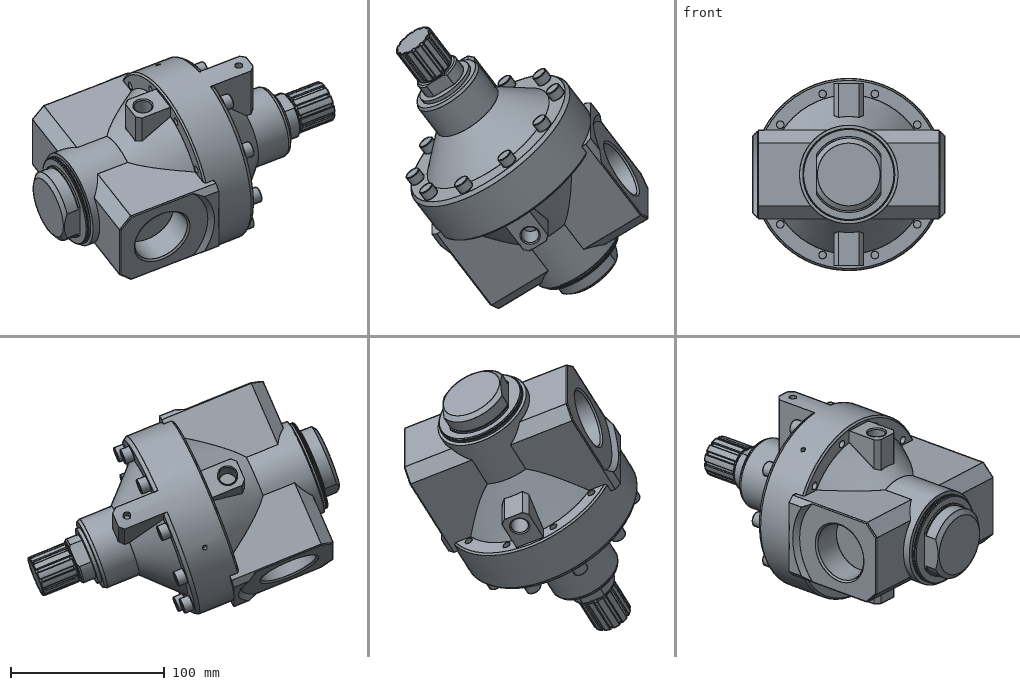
import cadquery as cq
import math

TOTAL_LENGTH = 206.0

PLUG_BASE_FRONT = 10.7
SEAL_FRONT = 12.0
SEAL_BACK = 15.0
BARREL_FRONT = 15.7
BLOCK_FRONT = 20.5
FRONT_CONE_START = 51.3
FLANGE_FRONT = 85.5
BLOCK_BACK = 92.3
FLANGE_BACK = 119.0
COLLAR_BACK = 167.5
WASHER_BACK = 170.0
NUT_BACK = 179.5
KNOB_FRONT = 180.2

PLUG_DIAMETER = 47.4
PLUG_BASE_DIAMETER = 49.5
PLUG_END_DIAMETER = 40.8
PLUG_CHAMFER_LENGTH = 2.5
PLUG_ACROSS_FLATS = 42.0
SEAL_DIAMETER = 60.0
SEAL_CHAMFER = 0.6
SEAL_GROOVE_DEPTH = 0.6
SEAL_GROOVE_WIDTH = 0.5
NECK_DIAMETER = 57.7
BARREL_DIAMETER = 64.0
FRONT_CONE_DIAMETER = 103.6
FLANGE_DIAMETER = 125.0
FLANGE_FRONT_CHAMFER = 1.2
FLANGE_BACK_CHAMFER_RADIAL = 1.9
FLANGE_BACK_CHAMFER_LENGTH = 2.7
COLLAR_DIAMETER = 48.2
BACK_CONE_DIAMETER = 96.0
COLLAR_CHAMFER_RADIAL = 1.0
COLLAR_CHAMFER_LENGTH = 2.0
WASHER_DIAMETER = 38.3

NUT_DIAMETER = 30.7
NUT_ACROSS_FLATS = 26.4
NUT_CHAMFER = 1.0
SPINDLE_DIAMETER = 23.9
KNOB_DIAMETER = 27.0
KNOB_CHAMFER = 0.6
FLUTE_COUNT = 12
FLUTE_FLOOR_WIDTH = 1.9
FLUTE_MOUTH_WIDTH = 3.0
FLUTE_DEPTH = 0.8
FLUTE_END_CHAMFER = 1.6

BLOCK_HEIGHT = 57.7
BLOCK_FRONT_CHAMFER = 8.5
BLOCK_END_CHAMFER = 4.0
SEAT_X = 59.3
SEAT_CENTER_Y = 43.9
SEAT_RADIUS = 42.0
PORT_CENTER_Y = 52.0
PORT_DIAMETER = 39.0
PORT_CHAMFER = 1.2
PORT_DEPTH = 20.0

BOSS_WIDTH = 19.4
BOSS_FRONT = 61.2
BOSS_TOP = 59.3
BOSS_CHAMFER = 3.0
GAUGE_HOLE_Y = 70.5
GAUGE_HOLE_DIAMETER = 11.5
GAUGE_HOLE_CHAMFER = 0.8
GAUGE_HOLE_DEPTH = 16.5

TAB_WIDTH = 15.7
TAB_BACK = 149.5
TAB_CHAMFER = 3.0
TAB_BOTTOM = 10.3
TAB_HOLE_Y = 141.5
TAB_HOLE_DIAMETER = 5.0
TAB_HOLE_DEPTH = 10.3

SCREW_COUNT = 10
SCREW_CIRCLE_DIAMETER = 110.2
SCREW_HEAD_DIAMETER = 10.0
SCREW_HEAD_HEIGHT = 6.8
SCREW_HEAD_CHAMFER = 0.5
SCREW_HOLE_DIAMETER = 5.0
SCREW_HOLE_DEPTH = 4.1
BLEED_HOLE_DIAMETER = 3.0
BLEED_HOLE_DEPTH = 4.1
BLEED_HOLE_Y = 102.0
BLEED_HOLE_ANGLE = 126.0


def cylinder_y(diameter, start, end):
    """Cylinder on the main axis between two Y positions."""
    return cq.Workplane("XZ", origin=(0, start, 0)).circle(diameter / 2).extrude(start - end)


def box_between(x_size, y_start, y_end, z_start, z_end):
    """Box centred on X = 0 between the given Y and Z limits."""
    return cq.Workplane("XY").box(x_size, y_end - y_start, z_end - z_start).translate(
        (0, (y_start + y_end) / 2, (z_start + z_end) / 2)
    )


def chamfered_bore(plane, diameter, chamfer, depth):
    """Blind bore cut against the plane's normal, with a chamfered mouth."""
    bore = cq.Workplane(plane).circle(diameter / 2).extrude(-depth)
    mouth = cq.Workplane(plane).circle(diameter / 2 + chamfer).extrude(-chamfer, taper=45)
    return bore.union(mouth)


def turned_body():
    """Seal, barrel, cones, flange, collar and washer as one revolved profile."""
    seal_radius = SEAL_DIAMETER / 2
    seal_middle = (SEAL_FRONT + SEAL_BACK) / 2
    flange_radius = FLANGE_DIAMETER / 2
    collar_radius = COLLAR_DIAMETER / 2
    profile = [
        (0, SEAL_FRONT),
        (seal_radius - SEAL_CHAMFER, SEAL_FRONT),
        (seal_radius, SEAL_FRONT + SEAL_CHAMFER),
        (seal_radius, seal_middle - SEAL_GROOVE_WIDTH / 2),
        (seal_radius - SEAL_GROOVE_DEPTH, seal_middle),
        (seal_radius, seal_middle + SEAL_GROOVE_WIDTH / 2),
        (seal_radius, SEAL_BACK),
        (NECK_DIAMETER / 2, SEAL_BACK),
        (NECK_DIAMETER / 2, BARREL_FRONT),
        (BARREL_DIAMETER / 2, BARREL_FRONT),
        (BARREL_DIAMETER / 2, FRONT_CONE_START),
        (FRONT_CONE_DIAMETER / 2, FLANGE_FRONT),
        (flange_radius - FLANGE_FRONT_CHAMFER, FLANGE_FRONT),
        (flange_radius, FLANGE_FRONT + FLANGE_FRONT_CHAMFER),
        (flange_radius, FLANGE_BACK - FLANGE_BACK_CHAMFER_LENGTH),
        (flange_radius - FLANGE_BACK_CHAMFER_RADIAL, FLANGE_BACK),
        (BACK_CONE_DIAMETER / 2, FLANGE_BACK),
        (collar_radius, FLANGE_BACK + (BACK_CONE_DIAMETER - COLLAR_DIAMETER) / 2),
        (collar_radius, COLLAR_BACK - COLLAR_CHAMFER_LENGTH),
        (collar_radius - COLLAR_CHAMFER_RADIAL, COLLAR_BACK),
        (WASHER_DIAMETER / 2, COLLAR_BACK),
        (WASHER_DIAMETER / 2, WASHER_BACK),
        (0, WASHER_BACK),
    ]
    return cq.Workplane("XY").polyline(profile).close().revolve(360, (0, 0, 0), (0, 1, 0))


def plug():
    """Round plug with a stepped base, a conical front edge and two flats facing X."""
    profile = [
        (0, 0),
        (PLUG_END_DIAMETER / 2, 0),
        (PLUG_DIAMETER / 2, PLUG_CHAMFER_LENGTH),
        (PLUG_DIAMETER / 2, PLUG_BASE_FRONT),
        (PLUG_BASE_DIAMETER / 2, PLUG_BASE_FRONT),
        (PLUG_BASE_DIAMETER / 2, SEAL_FRONT),
        (0, SEAL_FRONT),
    ]
    turned = cq.Workplane("XY").polyline(profile).close().revolve(360, (0, 0, 0), (0, 1, 0))
    half_height = PLUG_BASE_DIAMETER / 2
    return turned.intersect(box_between(PLUG_ACROSS_FLATS, 0, SEAL_FRONT, -half_height, half_height))


def lock_nut():
    """Round nut with two flats facing Z."""
    half_flats = NUT_ACROSS_FLATS / 2
    nut = cylinder_y(NUT_DIAMETER, WASHER_BACK, NUT_BACK).faces(">Y").chamfer(NUT_CHAMFER)
    return nut.intersect(box_between(NUT_DIAMETER, WASHER_BACK, NUT_BACK, -half_flats, half_flats))


def knob():
    """Knob with flutes whose floors slope down to the axis at both ends."""
    grip = cylinder_y(KNOB_DIAMETER, KNOB_FRONT, TOTAL_LENGTH).faces("<Y or >Y").chamfer(KNOB_CHAMFER)
    core_diameter = KNOB_DIAMETER - 2 * FLUTE_DEPTH
    core = cylinder_y(core_diameter, KNOB_FRONT, TOTAL_LENGTH)
    core = core.faces("<Y or >Y").chamfer(FLUTE_END_CHAMFER, FLUTE_DEPTH)
    half_floor = FLUTE_FLOOR_WIDTH / 2
    half_mouth = FLUTE_MOUTH_WIDTH / 2
    floor_height = core_diameter / 2
    ramp_bottom = floor_height - 2 * FLUTE_DEPTH
    section = [
        (-half_floor, ramp_bottom),
        (half_floor, ramp_bottom),
        (half_floor, floor_height),
        (half_mouth, KNOB_DIAMETER / 2),
        (-half_mouth, KNOB_DIAMETER / 2),
        (-half_floor, floor_height),
    ]
    knob_plane = cq.Workplane("XZ", origin=(0, KNOB_FRONT, 0))
    flute = knob_plane.polyline(section).close().extrude(KNOB_FRONT - TOTAL_LENGTH).cut(core)
    for i in range(FLUTE_COUNT):
        grip = grip.cut(flute.rotate((0, 0, 0), (0, 1, 0), i * 360 / FLUTE_COUNT))
    spindle = cylinder_y(SPINDLE_DIAMETER, NUT_BACK, KNOB_FRONT)
    return grip.union(spindle)


def port_block():
    """Cross block with a bevelled front and chamfered ends."""
    half_height = BLOCK_HEIGHT / 2
    block = box_between(FLANGE_DIAMETER, BLOCK_FRONT, BLOCK_BACK, -half_height, half_height)
    block = block.edges("|X and <Y").chamfer(BLOCK_FRONT_CHAMFER)
    block = block.faces("<X or >X").edges("not >Y").chamfer(BLOCK_END_CHAMFER)
    return block


def port_seats():
    """Conical recesses that cut the block ends, and the flange rim between them, back to the ports."""
    seat_depth = FLANGE_DIAMETER / 2 - SEAT_X
    seats = cq.Workplane("XY")
    for side in (-1, 1):
        plane = cq.Plane((side * SEAT_X, SEAT_CENTER_Y, 0), (0, 1, 0), (side, 0, 0))
        seats = seats.add(cq.Workplane(plane).circle(SEAT_RADIUS).extrude(seat_depth, taper=-45))
    return seats.combine()


def port_bores():
    """Inlet and outlet bores in the two ends of the block."""
    bores = cq.Workplane("XY")
    for side in (-1, 1):
        plane = cq.Plane((side * SEAT_X, PORT_CENTER_Y, 0), (0, 1, 0), (side, 0, 0))
        bores = bores.add(chamfered_bore(plane, PORT_DIAMETER, PORT_CHAMFER, PORT_DEPTH))
    return bores.combine()


def gauge_boss(side):
    """Drilled boss between the front cone and the flange; side is +1 above, -1 below."""
    bottom, top = sorted((0, side * BOSS_TOP))
    boss = box_between(BOSS_WIDTH, BOSS_FRONT, FLANGE_FRONT, bottom, top)
    return boss.edges("|Z and <Y").chamfer(BOSS_CHAMFER)


def gauge_bore(side):
    plane = cq.Plane((0, GAUGE_HOLE_Y, side * BOSS_TOP), (1, 0, 0), (0, 0, side))
    return chamfered_bore(plane, GAUGE_HOLE_DIAMETER, GAUGE_HOLE_CHAMFER, GAUGE_HOLE_DEPTH)


def mounting_tab():
    """Upright tab behind the flange, its top following the flange's round surface."""
    top = FLANGE_DIAMETER / 2
    tab_front = FLANGE_BACK - FLANGE_BACK_CHAMFER_LENGTH
    tab = box_between(TAB_WIDTH, tab_front, TAB_BACK, TAB_BOTTOM, top)
    tab = tab.edges("|Z and >Y").chamfer(TAB_CHAMFER)
    tab = tab.intersect(cylinder_y(FLANGE_DIAMETER, tab_front, TAB_BACK))
    hole_top = cq.Workplane("XY", origin=(0, TAB_HOLE_Y, top))
    return tab.cut(hole_top.circle(TAB_HOLE_DIAMETER / 2).extrude(-TAB_HOLE_DEPTH))


def screw_centers():
    """X and Z of the screws, spread evenly around the flange."""
    radius = SCREW_CIRCLE_DIAMETER / 2
    angles = [2 * math.pi * i / SCREW_COUNT for i in range(SCREW_COUNT)]
    return [(radius * math.cos(a), radius * math.sin(a)) for a in angles]


def screw_heads():
    head = cylinder_y(SCREW_HEAD_DIAMETER, FLANGE_BACK, FLANGE_BACK + SCREW_HEAD_HEIGHT)
    head = head.faces("<Y or >Y").chamfer(SCREW_HEAD_CHAMFER)
    heads = cq.Workplane("XY")
    for x, z in screw_centers():
        heads = heads.add(head.translate((x, 0, z)))
    return heads.combine()


def screw_holes():
    """Blind holes in the flange's front face, left out where the block covers it."""
    open_centers = [(x, z) for x, z in screw_centers() if abs(z) > BLOCK_HEIGHT / 2]
    front_face = cq.Workplane("XZ", origin=(0, FLANGE_FRONT, 0))
    return front_face.pushPoints(open_centers).circle(SCREW_HOLE_DIAMETER / 2).extrude(-SCREW_HOLE_DEPTH)


def bleed_hole():
    """Small radial hole in the flange rim."""
    angle = math.radians(BLEED_HOLE_ANGLE)
    direction = (math.cos(angle), 0, math.sin(angle))
    rim_radius = FLANGE_DIAMETER / 2
    center = (rim_radius * direction[0], BLEED_HOLE_Y, rim_radius * direction[2])
    rim_plane = cq.Plane(center, (0, 1, 0), direction)
    drill = cq.Workplane(rim_plane).circle(BLEED_HOLE_DIAMETER / 2)
    return drill.extrude(BLEED_HOLE_DEPTH, both=True)


result = turned_body().union(plug()).union(lock_nut()).union(knob()).union(port_block())
result = result.union(mounting_tab()).union(screw_heads())
for boss_side in (-1, 1):
    result = result.union(gauge_boss(boss_side)).cut(gauge_bore(boss_side))
result = result.cut(port_seats()).cut(port_bores()).cut(screw_holes()).cut(bleed_hole())